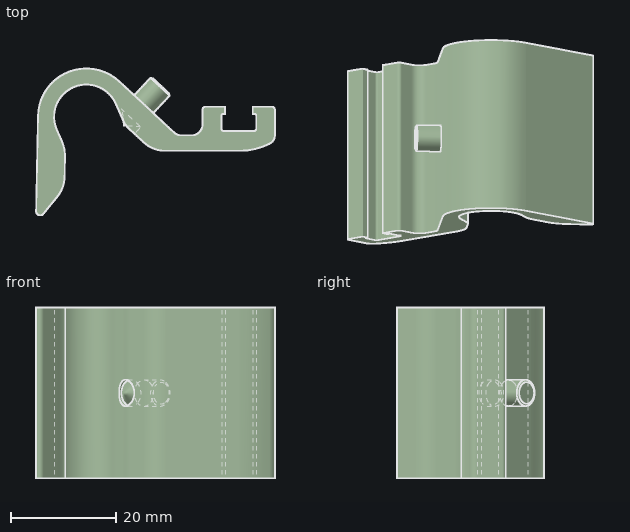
import cadquery as cq
import math


width_x = 45.42
depth_y = 27.95
height_z = 32.5

hook_outer_radius = 9.2
hook_inner_radius = 6.1
grip_thickness = 5.33
leg_draft = 1.15
mouth_tilt = 24.0
shoulder_radius = 7.0
leg_bend_radius = 6.0
tip_slope = -39.0
tip_radius = 0.8

arm_normal = 47.0
arm_throat_radius = 5.5
arm_bend_radius = 6.0

web_thickness = 3.0
base_y = -6.5
web_top_y = base_y + web_thickness
web_fillet = 2.0
rail_left_x = 22.05
rail_top_y = 1.95
rail_corner_radius = 0.65
slot_centre_x = 29.0
slot_opening = 5.2
slot_width = 6.55
slot_lip = 1.45
slot_floor_y = -2.7
slot_floor_radius = 0.4
slot_lip_radius = 0.2
end_curve_start_x = 29.15
end_curve_radius = 12.5
end_corner_radius = 1.8

screw_diameter = 5.0
screw_end_diameter = 4.13
screw_offset = 6.35
screw_protrusion = 4.78
screw_point_depth = 5.55
screw_chamfer_length = 0.25
screw_point_angle = 100.0
screw_z = height_z / 2

join_tolerance = 1e-6


def meet(line_a, line_b):
    """Intersection point of two lines."""
    angle_a, angle_b = math.radians(line_a[0]), math.radians(line_b[0])
    det = math.sin(angle_b - angle_a)
    x = (line_a[1] * math.sin(angle_b) - line_b[1] * math.sin(angle_a)) / det
    y = (line_b[1] * math.cos(angle_a) - line_a[1] * math.cos(angle_b)) / det
    return x, y


def polar(centre, radius, angle):
    """Point at a radius and angle (degrees) from a centre."""
    turn = math.radians(angle)
    return centre[0] + radius * math.cos(turn), centre[1] + radius * math.sin(turn)


def arc(centre, radius, start_angle, end_angle):
    """Start, middle and end points of an arc."""
    middle_angle = (start_angle + end_angle) / 2
    return [polar(centre, radius, angle) for angle in (start_angle, middle_angle, end_angle)]


def corner(line_a, line_b, radius):
    """Rounded corner between two lines; a negative radius rounds an inside corner."""
    centre = meet((line_a[0], line_a[1] - radius), (line_b[0], line_b[1] - radius))
    turn = (line_b[0] - line_a[0] + 180) % 360 - 180
    return arc(centre, radius, line_a[0], line_a[0] + turn)


def profile_pieces():
    """Clockwise outline as single points and three-point arcs, joined by straight lines."""
    hook_centre = (0, 0)
    grip_inner = hook_outer_radius - grip_thickness

    leg_outer = (180 - leg_draft, hook_outer_radius)
    tip_y = hook_outer_radius - depth_y + tip_radius
    tip_centre = meet((leg_outer[0], leg_outer[1] - tip_radius), (90, tip_y))
    tip_bevel_offset = (
        tip_centre[0] * math.cos(math.radians(tip_slope))
        + tip_centre[1] * math.sin(math.radians(tip_slope))
        + tip_radius
    )
    tip_bevel = (tip_slope, tip_bevel_offset)
    rail_right_x = tip_centre[0] - tip_radius + width_x

    leg_inner = (-leg_draft, -grip_inner)
    mouth_left = (mouth_tilt, -hook_inner_radius)
    mouth_right = (mouth_tilt + 180, -hook_inner_radius)
    arm_outer = (arm_normal, hook_outer_radius)
    arm_inner = (arm_normal + 180, -grip_inner)
    web_top = (90, web_top_y)
    base = (270, -base_y)
    rail_left = (180, -rail_left_x)
    rail_top = (90, rail_top_y)
    rail_right = (0, rail_right_x)

    slot_left = (0, slot_centre_x - slot_width / 2)
    slot_right = (180, -slot_centre_x - slot_width / 2)
    slot_floor = (90, slot_floor_y)
    lip_left_x = slot_centre_x - slot_opening / 2
    lip_right_x = slot_centre_x + slot_opening / 2
    lip_y = rail_top_y - slot_lip
    lip_under = (270, -lip_y)

    end_centre = (end_curve_start_x, base_y + end_curve_radius)
    end_corner_x = rail_right_x - end_corner_radius
    end_cosine = (end_corner_x - end_centre[0]) / (end_curve_radius - end_corner_radius)
    end_angle = -math.degrees(math.acos(end_cosine))
    end_corner_centre = polar(end_centre, end_curve_radius - end_corner_radius, end_angle)

    return [
        corner(leg_outer, arm_outer, hook_outer_radius),
        corner(arm_outer, web_top, -web_fillet),
        corner(web_top, rail_left, -web_fillet),
        corner(rail_left, rail_top, rail_corner_radius),
        [(lip_left_x, rail_top_y)],
        [(lip_left_x, lip_y)],
        corner(lip_under, slot_left, -slot_lip_radius),
        corner(slot_left, slot_floor, -slot_floor_radius),
        corner(slot_floor, slot_right, -slot_floor_radius),
        corner(slot_right, lip_under, -slot_lip_radius),
        [(lip_right_x, lip_y)],
        corner((180, -lip_right_x), rail_top, slot_lip_radius),
        corner(rail_top, rail_right, rail_corner_radius),
        arc(end_corner_centre, end_corner_radius, 0, end_angle),
        arc(end_centre, end_curve_radius, end_angle, -90),
        corner(base, arm_inner, arm_bend_radius),
        corner(arm_inner, mouth_right, arm_throat_radius),
        arc(hook_centre, hook_inner_radius, mouth_tilt, mouth_tilt + 180),
        corner(mouth_left, leg_inner, shoulder_radius),
        corner(leg_inner, tip_bevel, leg_bend_radius),
        arc(tip_centre, tip_radius, tip_slope, leg_outer[0] - 360),
    ]


def make_clip():
    """Extruded clip body."""
    pieces = profile_pieces()
    outline = cq.Workplane("XY").moveTo(*pieces[0][0])
    pen = pieces[0][0]
    for piece in pieces:
        if math.dist(pen, piece[0]) > join_tolerance:
            outline = outline.lineTo(*piece[0])
        if len(piece) == 3:
            outline = outline.threePointArc(piece[1], piece[2])
        pen = piece[-1]
    return outline.close().extrude(height_z)


def screw_plane():
    """Plane whose Y axis is the screw axis, with its origin on the outer face of the arm."""
    tangent_point = polar((0, 0), hook_outer_radius, arm_normal)
    origin = polar(tangent_point, screw_offset, arm_normal - 90)
    along_arm = polar((0, 0), 1, arm_normal - 90)
    return cq.Plane(origin=(*origin, screw_z), xDir=(*along_arm, 0), normal=(0, 0, 1))


def make_screw():
    """Set screw chamfered at both ends, with a cone point towards the hook mouth."""
    radius = screw_diameter / 2
    end_radius = screw_end_diameter / 2
    cone_length = end_radius / math.tan(math.radians(screw_point_angle / 2))
    cone_base = cone_length - screw_point_depth
    half_section = [
        (0, -screw_point_depth),
        (end_radius, cone_base),
        (radius, cone_base + screw_chamfer_length),
        (radius, screw_protrusion - screw_chamfer_length),
        (end_radius, screw_protrusion),
        (0, screw_protrusion),
    ]
    return cq.Workplane(screw_plane()).polyline(half_section).close().revolve(360, (0, 0), (0, 1))


def make_screw_hole():
    """Bore through the arm, reaching past the inner face into the open mouth."""
    radius = screw_diameter / 2
    bore_end = -grip_thickness - radius
    half_section = [(0, 0), (radius, 0), (radius, bore_end), (0, bore_end)]
    return cq.Workplane(screw_plane()).polyline(half_section).close().revolve(360, (0, 0), (0, 1))


result = make_clip().cut(make_screw_hole()).union(make_screw())